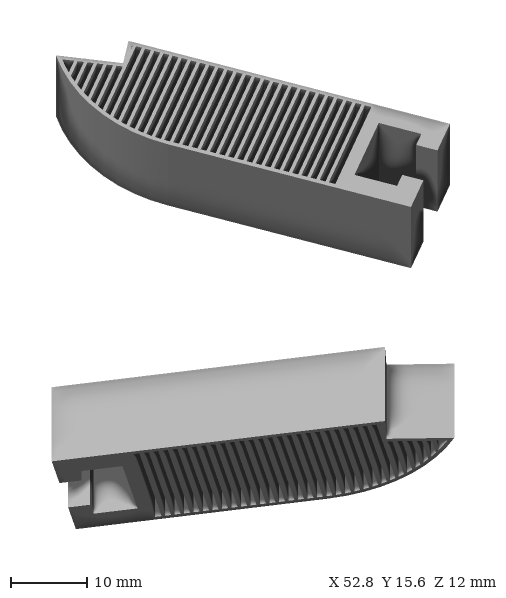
import cadquery as cq
import math

length = 52.8
width = 15.6
height = 12.0

tip_y = 10.05
nose_length = 19.0
upper_left_x = 8.15
notch_x = 8.75
notch_y = 11.6

wall = 0.6
end_block = 10.7

rib_count = 31
rib_width = 0.465
first_rib_x = 2.8
last_slot_width = 0.9

slot_depth = 8.85
slot_width = 9.7
mouth_depth = 2.95
mouth_width = 5.6

nose_radius = (nose_length**2 + tip_y**2) / (2 * tip_y)

cavity_end = length - end_block
last_rib_x = cavity_end - last_slot_width - rib_width / 2
rib_pitch = (last_rib_x - first_rib_x) / (rib_count - 1)


def box(x_start, x_end, y_start, y_end):
    """Full-height block between the given X and Y limits."""
    return cq.Workplane("XY").box(
        x_end - x_start, y_end - y_start, height, centered=False
    ).translate((x_start, y_start, 0))


def arc_point(inset, y):
    """Point at height y on the nose arc, moved inwards by inset."""
    radius = nose_radius - inset
    return nose_length - math.sqrt(radius**2 - (nose_radius - y) ** 2), y


def blank(inset, right_x):
    """Body before notching, with its nose, lower and upper sides moved inwards by inset."""
    return (
        cq.Workplane("XY")
        .moveTo(*arc_point(inset, width - inset))
        .threePointArc(arc_point(inset, width / 2), (nose_length, inset))
        .lineTo(right_x, inset)
        .lineTo(right_x, width - inset)
        .close()
        .extrude(height)
    )


def notch(growth):
    """Corner cut whose two sides, moved outwards by growth, run well past the tip and the upper side."""
    overrun = 2
    corner = cq.Vector(notch_x, notch_y)
    along_tip = (cq.Vector(0, tip_y) - corner) * overrun
    along_step = (cq.Vector(upper_left_x, width) - corner) * overrun
    corners = [corner, corner + along_tip, corner + along_tip + along_step, corner + along_step]
    outline = cq.Workplane("XY").polyline([(point.x, point.y) for point in corners]).close()
    if growth > 0:
        outline = outline.offset2D(growth, "intersection")
    return outline.extrude(height)


def ribbed_cavity():
    """Hollow inside the wall, less the ribs that cross it."""
    cavity = blank(wall, cavity_end).cut(notch(wall))
    for index in range(rib_count):
        rib_x = first_rib_x + index * rib_pitch
        cavity = cavity.cut(box(rib_x - rib_width / 2, rib_x + rib_width / 2, 0, width))
    return cavity


def t_slot():
    """Wide pocket with a narrower mouth open at the +X end."""
    mid_y = width / 2
    mouth_x = length - mouth_depth
    pocket = box(length - slot_depth, mouth_x, mid_y - slot_width / 2, mid_y + slot_width / 2)
    mouth = box(mouth_x, length, mid_y - mouth_width / 2, mid_y + mouth_width / 2)
    return pocket.union(mouth)


body = blank(0, length).cut(notch(0))
result = body.cut(ribbed_cavity()).cut(t_slot())